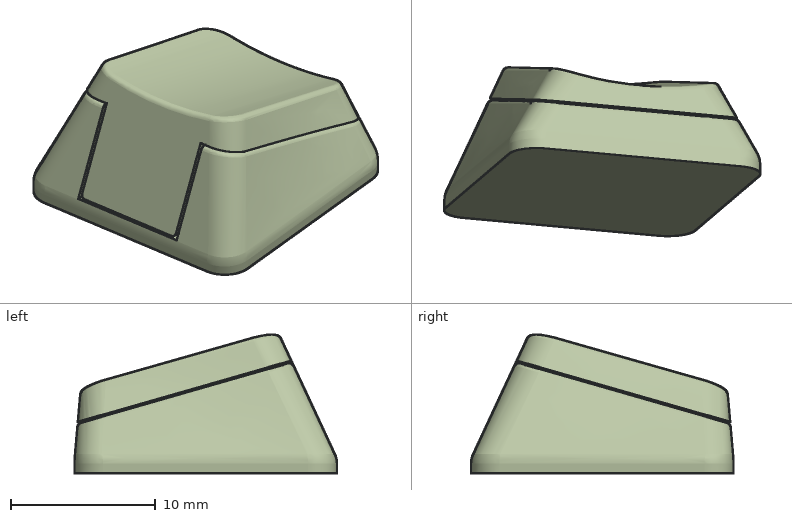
import cadquery as cq
import math

WIDTH = 18.16
HALF_WIDTH = WIDTH / 2
BOTTOM_CORNER_RADIUS = 2.0
SKIRT_EDGE_HEIGHT = 1.0
SKIRT_BLEND = 0.33

TILT = 16.0
TOP_HEIGHT = 8.65
TOP_HALF_WIDTH = 5.9
TOP_FRONT = -4.87
TOP_BACK = 8.63
TOP_CORNER_RADIUS = 1.82
DISH_RADIUS = 25.0
DISH_DEPTH = 0.84
TOP_EDGE_RADIUS = 0.4

SEAM_HEIGHT = 5.97
SEAM_GAP = 0.1
SEAM_EDGE_RADIUS = 0.4
SEAT_HALF_WIDTH = 5.27
SEAT_FRONT = -4.35
SEAT_BACK = 7.17
SEAT_CORNER_RADIUS = 0.9

FLAP_HALF_WIDTH = 4.09
FLAP_BOTTOM = 1.5
FLAP_DEPTH = 0.76
FLAP_CORNER_RADIUS = 0.27
FLAP_SIDE_GAP = 0.2
FLAP_BOTTOM_GAP = 0.13

BIG = 3 * WIDTH


def tilted_plane(height):
    """Plane parallel to the sloped top that crosses the Z axis at the given height."""
    slope = math.radians(TILT)
    return cq.Plane(
        origin=(0, 0, height),
        xDir=(1, 0, 0),
        normal=(0, math.sin(slope), math.cos(slope)),
    )


def outline_face(plane, front_half_width, back_half_width, front, back, radius):
    """Rounded trapezoid on a plane, with front and back given along the world Y axis."""
    stretch = 1 / plane.yDir.y
    corners = [
        (-front_half_width, front * stretch),
        (front_half_width, front * stretch),
        (back_half_width, back * stretch),
        (-back_half_width, back * stretch),
    ]
    sketch = cq.Sketch().polygon([*corners, corners[0]]).vertices().fillet(radius)
    return sketch.reset().faces().val().moved(plane.location)


def lean(inset, y):
    """Horizontal inset per unit of height of a wall that ends on the sloped top at the given Y."""
    return inset / (TOP_HEIGHT - y * math.tan(math.radians(TILT)) - SKIRT_EDGE_HEIGHT)


FRONT_LEAN = lean(HALF_WIDTH + TOP_FRONT, TOP_FRONT)
BACK_LEAN = lean(HALF_WIDTH - TOP_BACK, TOP_BACK)
SIDE_FRONT_LEAN = lean(HALF_WIDTH - TOP_HALF_WIDTH, TOP_FRONT)
SIDE_BACK_LEAN = lean(HALF_WIDTH - TOP_HALF_WIDTH, TOP_BACK)


def blend_outline(fraction):
    """Outline at a fraction of the skirt blend, a parabola from the vertical to the leaning walls."""
    height = SKIRT_EDGE_HEIGHT + (2 * fraction - 1) * SKIRT_BLEND
    rise = fraction**2 * SKIRT_BLEND
    return outline_face(
        cq.Plane((0, 0, height)),
        HALF_WIDTH - rise * SIDE_FRONT_LEAN,
        HALF_WIDTH - rise * SIDE_BACK_LEAN,
        -HALF_WIDTH + rise * FRONT_LEAN,
        HALF_WIDTH - rise * BACK_LEAN,
        BOTTOM_CORNER_RADIUS - rise * SIDE_FRONT_LEAN,
    ).outerWire()


def make_dish():
    """Cylinder along the slope whose lowest line lies DISH_DEPTH under the sloped plane."""
    top = tilted_plane(TOP_HEIGHT)
    center = top.origin + top.zDir * (DISH_RADIUS - DISH_DEPTH)
    return cq.Workplane(cq.Plane(center, top.xDir, top.yDir)).circle(DISH_RADIUS).extrude(BIG, both=True)


def make_envelope():
    """Outer shape of the assembled key, without the seam."""
    blend_wires = [blend_outline(fraction) for fraction in (0, 0.5, 1)]
    top_wire = outline_face(
        tilted_plane(TOP_HEIGHT), TOP_HALF_WIDTH, TOP_HALF_WIDTH, TOP_FRONT, TOP_BACK, TOP_CORNER_RADIUS
    ).outerWire()
    skirt = cq.Workplane("XY").rect(WIDTH, WIDTH).extrude(SKIRT_EDGE_HEIGHT - SKIRT_BLEND)
    skirt = skirt.edges("|Z").fillet(BOTTOM_CORNER_RADIUS)
    blend = cq.Solid.makeLoft(blend_wires)
    tapered = cq.Solid.makeLoft([blend_wires[-1], top_wire], True)
    body = skirt.union(cq.Workplane(blend)).union(cq.Workplane(tapered))
    body = body.cut(make_dish())
    rim = body.faces(cq.NearestToPointSelector((0, 0, TOP_HEIGHT - DISH_DEPTH)))
    return rim.edges().fillet(TOP_EDGE_RADIUS)


def above(height):
    """Everything above the tilted plane at the given height."""
    return cq.Workplane(tilted_plane(height)).rect(BIG, BIG).extrude(BIG)


def flap_block(half_width, bottom, corner_radius=0):
    """Block behind the sloped front wall, with its back face parallel to that wall."""
    back = -HALF_WIDTH + FLAP_DEPTH - SKIRT_EDGE_HEIGHT * FRONT_LEAN
    slab = (
        cq.Workplane("YZ")
        .polyline([(-WIDTH, 0), (back, 0), (back + WIDTH * FRONT_LEAN, WIDTH), (-WIDTH, WIDTH)])
        .close()
        .extrude(BIG, both=True)
    )
    front = cq.Workplane("XY", origin=(0, 0, bottom)).rect(2 * half_width, BIG).extrude(WIDTH)
    if corner_radius:
        front = front.edges("|Y and <Z").fillet(corner_radius)
    return slab.intersect(front)


def make_base(envelope):
    """Lower body with a rounded upper edge, a raised seat and the flap pocket."""
    base = envelope.cut(above(SEAM_HEIGHT))
    base = base.faces(cq.NearestToPointSelector((0, 0, SEAM_HEIGHT))).edges().fillet(SEAM_EDGE_RADIUS)
    base = base.cut(flap_block(FLAP_HALF_WIDTH + FLAP_SIDE_GAP, FLAP_BOTTOM - FLAP_BOTTOM_GAP))
    seam = tilted_plane(SEAM_HEIGHT)
    seat_face = outline_face(
        seam, SEAT_HALF_WIDTH, SEAT_HALF_WIDTH, SEAT_FRONT, SEAT_BACK, SEAT_CORNER_RADIUS
    )
    seat = cq.Solid.extrudeLinear(seat_face, seam.zDir * SEAM_GAP)
    return base.union(cq.Workplane(seat))


def make_cap(envelope):
    """Upper body with the dished top and the flap that hangs down its front."""
    seam = tilted_plane(SEAM_HEIGHT)
    underside = SEAM_HEIGHT + SEAM_GAP / seam.zDir.z
    flap = envelope.intersect(flap_block(FLAP_HALF_WIDTH, FLAP_BOTTOM, FLAP_CORNER_RADIUS))
    return envelope.intersect(above(underside)).union(flap)


envelope = make_envelope()
base = make_base(envelope)
cap = make_cap(envelope)
result = cq.Compound.makeCompound([base.solids().val(), cap.solids().val()])